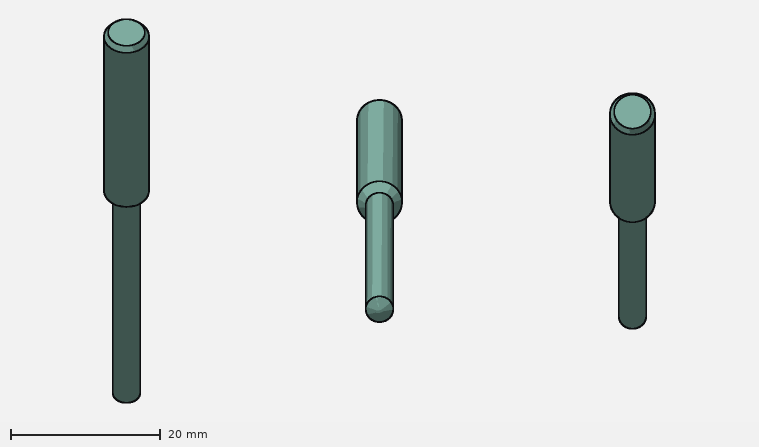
import cadquery as cq

total_length = 71.0
shank_diameter = 6.0
cutter_diameter = 3.7
shank_start = 39.05
taper_height = 1.2
chamfer_inset = 0.6
chamfer_height = 0.8
tip_height = 0.9

shank_radius = shank_diameter / 2
cutter_radius = cutter_diameter / 2
taper_top = shank_start + taper_height
chamfer_start = total_length - chamfer_height


def make_shank():
    """Cylindrical shank, tapered down to the cutter and chamfered at the top."""
    profile = [
        (0, shank_start),
        (cutter_radius, shank_start),
        (shank_radius, taper_top),
        (shank_radius, chamfer_start),
        (shank_radius - chamfer_inset, total_length),
        (0, total_length),
    ]
    return cq.Workplane("XZ").polyline(profile).close().revolve(360, (0, 0), (0, 1))


def make_cutter():
    """Slender round cutter with a conical point, butted against the shank."""
    profile = [
        (0, 0),
        (cutter_radius, tip_height),
        (cutter_radius, shank_start),
        (0, shank_start),
    ]
    return cq.Workplane("XZ").polyline(profile).close().revolve(360, (0, 0), (0, 1))


shank = make_shank()
cutter = make_cutter()

result = cq.Compound.makeCompound([shank.val(), cutter.val()])